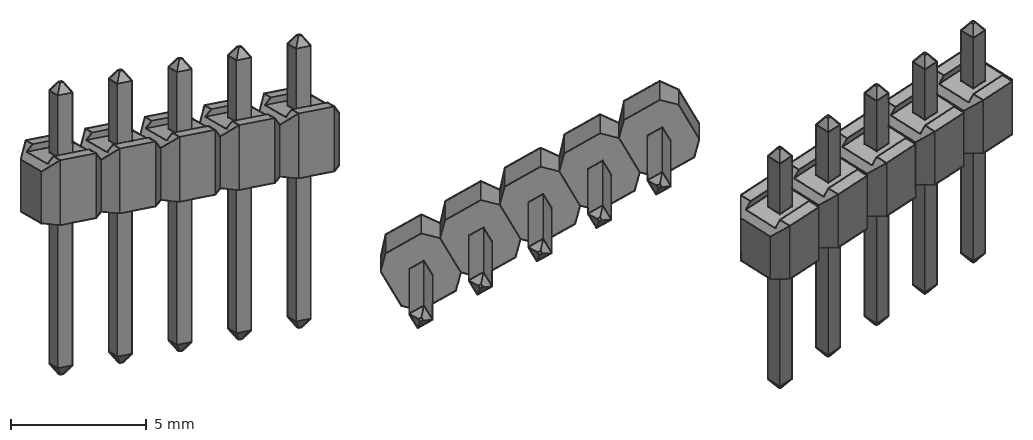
import cadquery as cq

PIN_COUNT = 5
ROW_LENGTH = 12.7
PITCH = ROW_LENGTH / PIN_COUNT

HOUSING_SIZE = PITCH
BEVEL = 0.51
CHANNEL_WIDTH = HOUSING_SIZE - 2 * BEVEL
CHANNEL_DEPTH = 0.25

PIN_WIDTH = 0.64
PIN_ABOVE = 2.54
PIN_BELOW = 6.35
TIP_HEIGHT = 0.38
TIP_WIDTH = 0.13
PIN_TOP = HOUSING_SIZE + PIN_ABOVE
SHANK_LENGTH = PIN_TOP + PIN_BELOW - 2 * TIP_HEIGHT


def make_housing(y):
    """Housing centred at the given place along the row, with a square hole for its pin."""
    block = (
        cq.Workplane("XY")
        .box(HOUSING_SIZE, HOUSING_SIZE, HOUSING_SIZE, centered=(True, True, False))
        .edges("|Z")
        .chamfer(BEVEL)
    )
    half = HOUSING_SIZE / 2
    side_profile = (
        cq.Workplane("YZ")
        .moveTo(-half, 0)
        .lineTo(half, 0)
        .lineTo(half, HOUSING_SIZE - BEVEL)
        .lineTo(half - BEVEL, HOUSING_SIZE)
        .lineTo(BEVEL - half, HOUSING_SIZE)
        .lineTo(-half, HOUSING_SIZE - BEVEL)
        .close()
        .extrude(half, both=True)
    )
    channel = (
        cq.Workplane("XY")
        .workplane(offset=HOUSING_SIZE - CHANNEL_DEPTH)
        .rect(CHANNEL_WIDTH, HOUSING_SIZE)
        .extrude(CHANNEL_DEPTH)
    )
    pin_hole = cq.Workplane("XY").rect(PIN_WIDTH, PIN_WIDTH).extrude(HOUSING_SIZE)
    return block.intersect(side_profile).cut(channel).cut(pin_hole).translate((0, y, 0))


def make_tip(base_z, end_z):
    """Blunt pyramid narrowing from the pin shank at base_z to its flat end at end_z."""
    return (
        cq.Workplane("XY", origin=(0, 0, base_z))
        .rect(PIN_WIDTH, PIN_WIDTH)
        .workplane(offset=end_z - base_z)
        .rect(TIP_WIDTH, TIP_WIDTH)
        .loft(ruled=True)
    )


def make_pin(y):
    """Square pin, pointed at both ends, at the given place along the row."""
    shank_bottom = -PIN_BELOW + TIP_HEIGHT
    shank_top = shank_bottom + SHANK_LENGTH
    shank = (
        cq.Workplane("XY", origin=(0, 0, shank_bottom))
        .rect(PIN_WIDTH, PIN_WIDTH)
        .extrude(SHANK_LENGTH)
    )
    top_tip = make_tip(shank_top, PIN_TOP)
    bottom_tip = make_tip(shank_bottom, -PIN_BELOW)
    return shank.union(top_tip).union(bottom_tip).translate((0, y, 0))


housings = []
pins = []
for index in range(PIN_COUNT):
    place = (index - (PIN_COUNT - 1) / 2) * PITCH
    housings.append(make_housing(place).val())
    pins.append(make_pin(place).val())

result = cq.Compound.makeCompound([*housings, *pins])